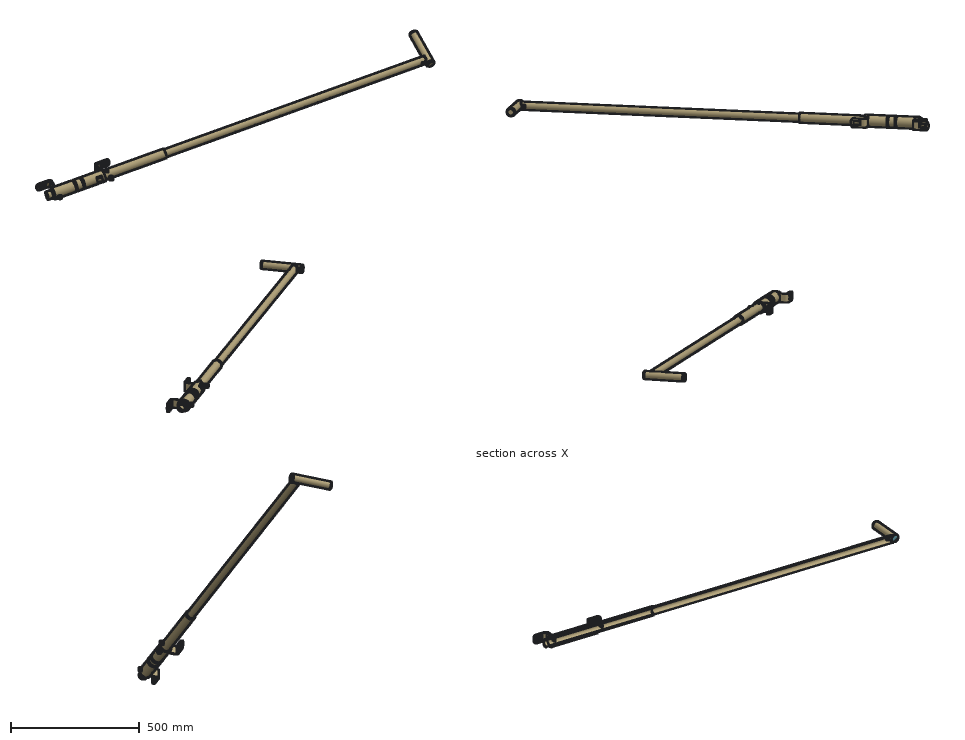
import cadquery as cq

total_length = 1660.0

pole_diameter = 33.0
bore_diameter = 25.0
pole_top = 1633.0
cross_hole_diameter = 13.0
cross_hole_y = 1619.0

crossbar_diameter = 33.0
crossbar_left = -138.0
crossbar_right = 30.0
cap_thickness = 7.0
cap_chamfer = 3.0

sleeve_diameter = 40.0
sleeve_top = 523.0
shoulder_y = 42.0
spigot_end = 22.0
spigot_diameter = pole_diameter
sleeve_hole_diameter = 10.0
sleeve_hole_y = 277.0

grip_diameter = 48.0
grip_top = 262.0
grip_bottom = 48.0
groove_positions = (171.0, 140.0)
groove_width = 7.0
groove_depth = 2.0
window_top = 249.0
window_bottom = 227.0

lever_x = -55.0
lever_thickness = 7.0
lever_width = 35.0
lever_length = 63.0
lever_bend_radius = 10.0
lever_tip_rise = 8.0
lever_slot_length = 27.0
lever_slot_width = 15.0
lever_slot_setback = 25.0
upper_lever_tip = 310.0
lower_lever_tip = 0.0

pin_head_diameter = 17.0
pin_head_chamfer = 3.0
pin_shank_diameter = 8.0
pin_end = 33.0
upper_pin_y = 284.0
lower_pin_y = 65.0

crossbar_y = total_length - crossbar_diameter / 2
bore_radius = bore_diameter / 2
sleeve_radius = sleeve_diameter / 2
window_height = lever_width


def rod_y(diameter, start, end):
    """Cylinder on the pole axis between two Y positions."""
    return cq.Workplane("XZ", origin=(0, start, 0)).circle(diameter / 2).extrude(start - end)


def tube_y(outer_diameter, inner_diameter, start, end):
    """Tube on the pole axis between two Y positions."""
    return rod_y(outer_diameter, start, end).cut(rod_y(inner_diameter, start, end))


def rod_x(diameter, start, end, y):
    """Cylinder along X at the given Y, between two X positions."""
    return cq.Workplane("YZ", origin=(start, y, 0)).circle(diameter / 2).extrude(end - start)


def make_crossbar():
    return rod_x(crossbar_diameter, crossbar_left + cap_thickness, crossbar_right - cap_thickness, crossbar_y)


def make_cap(start, outer_face):
    cap = rod_x(crossbar_diameter, start, start + cap_thickness, crossbar_y)
    return cap.faces(outer_face).chamfer(cap_chamfer)


def make_pole():
    pole = tube_y(pole_diameter, bore_diameter, sleeve_top, pole_top)
    cross_hole = rod_x(cross_hole_diameter, -pole_diameter, pole_diameter, cross_hole_y)
    return pole.cut(make_crossbar()).cut(cross_hole)


def make_pin(y, seat_diameter):
    """Headed pin; its head sits on a tube of the given diameter and its shank ends at the far bore wall."""
    head = rod_x(pin_head_diameter, 0, pin_end, y).faces(">X").chamfer(pin_head_chamfer)
    head = head.cut(rod_y(seat_diameter, y - pin_head_diameter, y + pin_head_diameter))
    shank = rod_x(pin_shank_diameter, -bore_radius, pin_end - pin_head_chamfer, y)
    return head.union(shank)


def make_sleeve(pins):
    outline = [
        (bore_radius, spigot_end),
        (spigot_diameter / 2, spigot_end),
        (spigot_diameter / 2, shoulder_y),
        (sleeve_radius, shoulder_y),
        (sleeve_radius, sleeve_top),
        (bore_radius, sleeve_top),
    ]
    sleeve = cq.Workplane("XY").polyline(outline).close().revolve(360, (0, 0, 0), (0, 1, 0))
    top_hole = (
        cq.Workplane("XY", origin=(0, sleeve_hole_y, 0))
        .circle(sleeve_hole_diameter / 2)
        .extrude(sleeve_radius)
    )
    sleeve = sleeve.cut(top_hole)
    for pin in pins:
        sleeve = sleeve.cut(pin)
    return sleeve


def make_grip(pins):
    grip = tube_y(grip_diameter, sleeve_diameter, grip_bottom, grip_top)
    for y in groove_positions:
        core_diameter = grip_diameter - 2 * groove_depth
        grip = grip.cut(tube_y(grip_diameter, core_diameter, y - groove_width / 2, y + groove_width / 2))
    window = (
        cq.Workplane("YZ", origin=(0, (window_top + window_bottom) / 2, 0))
        .rect(window_top - window_bottom, window_height)
        .extrude(grip_diameter)
    )
    grip = grip.cut(window)
    for pin in pins:
        grip = grip.cut(pin)
    return grip


def make_lever(tip_y, direction):
    """Bent plate with a foot against the grip and a slotted leaf; direction is the way its tip points in Y."""
    foot_y = tip_y - direction * lever_length
    inner_x = lever_x + lever_thickness
    inner_y = foot_y + direction * lever_thickness
    profile = [
        (lever_x, tip_y),
        (lever_x, foot_y),
        (0, foot_y),
        (0, inner_y),
        (inner_x, inner_y),
        (inner_x, tip_y),
    ]
    lever = cq.Workplane("XY").polyline(profile).close().extrude(lever_width / 2, both=True)
    outer_bend = cq.selectors.NearestToPointSelector((lever_x, foot_y, 0))
    lever = lever.edges(outer_bend).fillet(lever_bend_radius)

    half_width = lever_width / 2
    arch_start_y = tip_y - direction * lever_tip_rise
    outline = (
        cq.Workplane("YZ", origin=(lever_x, 0, 0))
        .moveTo(foot_y, -half_width)
        .lineTo(arch_start_y, -half_width)
        .threePointArc((tip_y, 0), (arch_start_y, half_width))
        .lineTo(foot_y, half_width)
        .close()
        .extrude(-lever_x)
    )
    slot = (
        cq.Workplane("YZ", origin=(lever_x, tip_y - direction * lever_slot_setback, 0))
        .rect(lever_slot_length, lever_slot_width)
        .extrude(lever_thickness)
    )
    return lever.intersect(outline).cut(slot).cut(rod_y(grip_diameter, grip_bottom, grip_top))


crossbar = make_crossbar()
caps = [
    make_cap(crossbar_left, "<X"),
    make_cap(crossbar_right - cap_thickness, ">X"),
]
pole = make_pole()
pins = [
    make_pin(upper_pin_y, sleeve_diameter),
    make_pin(lower_pin_y, grip_diameter),
]
sleeve = make_sleeve(pins)
grip = make_grip(pins)
levers = [
    make_lever(upper_lever_tip, 1),
    make_lever(lower_lever_tip, -1),
]

bodies = [crossbar, *caps, pole, sleeve, grip, *levers, *pins]
result = cq.Compound.makeCompound([body.val() for body in bodies])